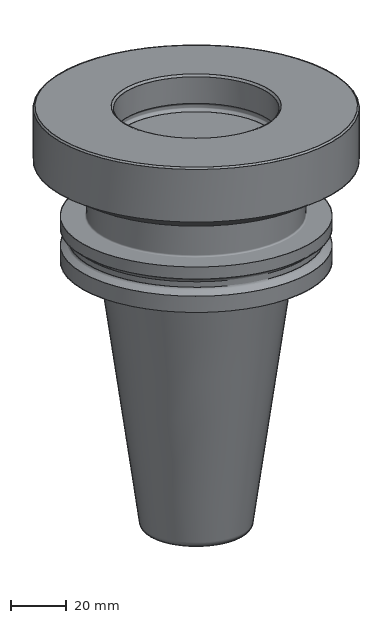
import cadquery as cq
import math

total_height = 163.2

shank_radius = 35.0
shank_height = 101.7
taper_slope = 7 / 24 / 2
collar_fillet = 0.8
tip_rounding = 2.6

flange_radius = 48.8
flange_bottom = 103.2
flange_top = 120.8
groove_floor_radius = 45.9
groove_center = 112.8
groove_floor_width = 3.3
groove_flank_angle = 60.0
groove_floor_rounding = 1.0

neck_radius = 39.3
neck_fillet = 0.7

head_diameter = 117.0
head_radius = head_diameter / 2
head_height = 26.5
head_rim_height = 21.0
head_rim_chamfer = 0.7
head_cone_angle = 60.0

bore_radius = 29.7
bore_depth = 14.4
bore_chamfer = 0.8
relief_width = 3.3
relief_depth = 1.0
relief_rounding = 0.5


def revolved(points):
    """Solid of revolution about Z from a closed (radius, height) outline."""
    return cq.Workplane("XZ").polyline(points).close().revolve(360, (0, 0, 0), (0, 1, 0))


def round_edges_between(body, low, high, rounding):
    """Fillet the circular edges whose heights lie from low to high."""
    margin = 0.2
    band = cq.selectors.BoxSelector(
        (-head_radius, -head_radius, low - margin),
        (head_radius, head_radius, high + margin),
    )
    return body.edges("%CIRCLE").edges(band).fillet(rounding)


def make_shank():
    tip_radius = shank_radius - taper_slope * shank_height
    taper = revolved([(0, 0), (tip_radius, 0), (shank_radius, shank_height), (0, shank_height)])
    fillet_outer_radius = shank_radius + collar_fillet
    collar = (
        cq.Workplane("XZ")
        .moveTo(0, shank_height)
        .lineTo(shank_radius, shank_height)
        .lineTo(shank_radius, flange_bottom - collar_fillet)
        .radiusArc((fillet_outer_radius, flange_bottom), collar_fillet)
        .lineTo(0, flange_bottom)
        .close()
        .revolve(360, (0, 0, 0), (0, 1, 0))
    )
    return taper.faces("<Z").edges().fillet(tip_rounding).union(collar)


def make_flange():
    groove_depth = flange_radius - groove_floor_radius
    flank_height = groove_depth / math.tan(math.radians(groove_flank_angle))
    floor_bottom = groove_center - groove_floor_width / 2
    floor_top = groove_center + groove_floor_width / 2
    flange = revolved([
        (0, flange_bottom),
        (flange_radius, flange_bottom),
        (flange_radius, floor_bottom - flank_height),
        (groove_floor_radius, floor_bottom),
        (groove_floor_radius, floor_top),
        (flange_radius, floor_top + flank_height),
        (flange_radius, flange_top),
        (0, flange_top),
    ])
    return round_edges_between(flange, floor_bottom, floor_top, groove_floor_rounding)


def make_head():
    head_bottom = total_height - head_height
    rim_bottom = total_height - head_rim_height
    cone_width = (rim_bottom - head_bottom) * math.tan(math.radians(head_cone_angle))
    head = revolved([
        (0, head_bottom),
        (head_radius - cone_width, head_bottom),
        (head_radius, rim_bottom),
        (head_radius, total_height),
        (0, total_height),
    ])
    return head.faces(">Z").edges().chamfer(head_rim_chamfer)


def make_neck():
    """Neck that flares with a concave fillet where it meets the flange and the head."""
    neck_top = total_height - head_height
    fillet_outer_radius = neck_radius + neck_fillet
    return (
        cq.Workplane("XZ")
        .moveTo(0, flange_top)
        .lineTo(fillet_outer_radius, flange_top)
        .radiusArc((neck_radius, flange_top + neck_fillet), neck_fillet)
        .lineTo(neck_radius, neck_top - neck_fillet)
        .radiusArc((fillet_outer_radius, neck_top), neck_fillet)
        .lineTo(0, neck_top)
        .close()
        .revolve(360, (0, 0, 0), (0, 1, 0))
    )


def make_bore():
    floor = total_height - bore_depth
    relief_floor_bottom = floor + relief_depth
    relief_floor_top = floor + relief_width - relief_depth
    relief_radius = bore_radius + relief_depth
    bore = revolved([
        (0, floor),
        (bore_radius, floor),
        (relief_radius, relief_floor_bottom),
        (relief_radius, relief_floor_top),
        (bore_radius, floor + relief_width),
        (bore_radius, total_height - bore_chamfer),
        (bore_radius + bore_chamfer, total_height),
        (0, total_height),
    ])
    return round_edges_between(bore, relief_floor_bottom, relief_floor_top, relief_rounding)


result = (
    make_shank()
    .union(make_flange())
    .union(make_neck())
    .union(make_head())
    .cut(make_bore())
)